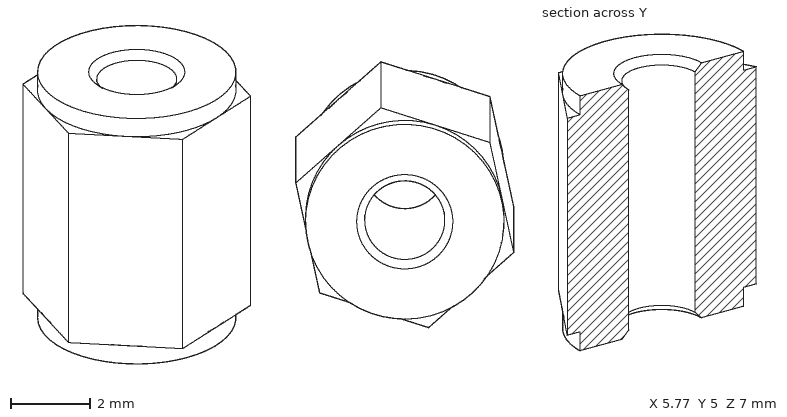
import cadquery as cq
import math

total_height = 7.0
across_flats = 5.0
collar_height = 0.52
bore_diameter = 2.015
chamfer_size = 0.2

across_corners = across_flats / math.cos(math.pi / 6)
hex_height = total_height - 2 * collar_height


def make_body():
    """Hexagonal prism between two round collars as wide as its flats."""
    core = cq.Workplane("XY").circle(across_flats / 2).extrude(total_height)
    hexagon = (
        cq.Workplane("XY")
        .workplane(offset=collar_height)
        .polygon(6, across_corners)
        .extrude(hex_height)
    )
    return core.union(hexagon)


def cut_bore(body):
    """Through bore along Z, chamfered at both mouths."""
    bore = cq.Workplane("XY").circle(bore_diameter / 2).extrude(total_height)
    bored = body.cut(bore)
    mouths = bored.faces("<Z or >Z").edges(cq.selectors.RadiusNthSelector(0))
    return mouths.chamfer(chamfer_size)


result = cut_bore(make_body())